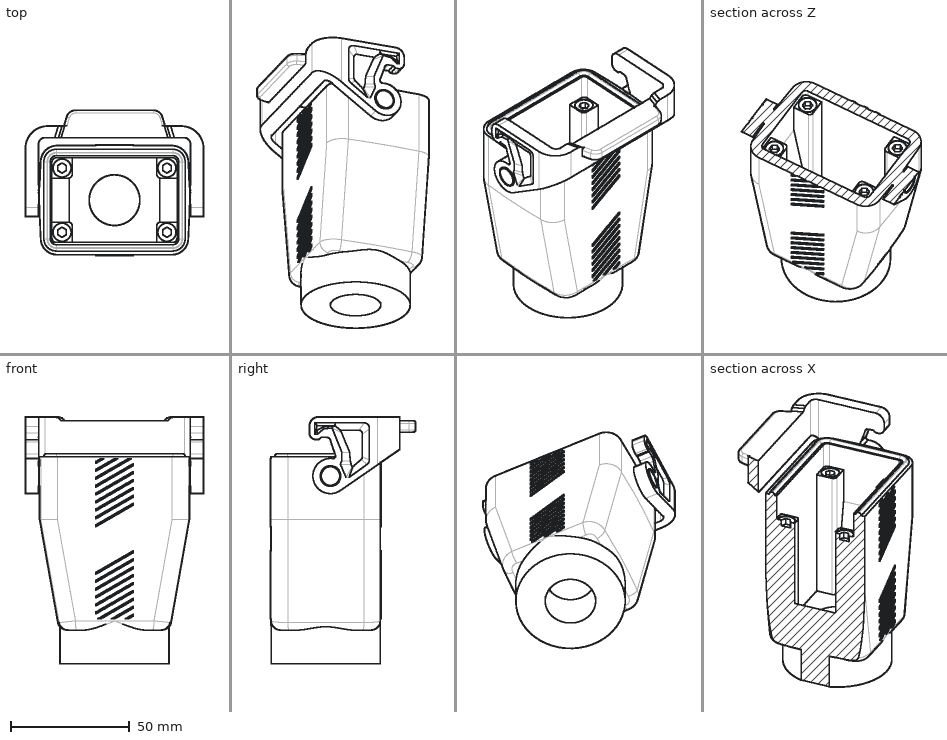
import cadquery as cq
import math

COLLAR_RADIUS = 23.0
BORE_RADIUS = 10.6

HOOD_HALF_LENGTH = 31.1
END_WALL_BOW = 0.5
HOOD_HALF_WIDTH = COLLAR_RADIUS
HOOD_CORNER_RADIUS = 7.0
HOOD_BOTTOM = 14.2
TAPER_TOP = 60.9
HOOD_TOP = 87.2
END_WALL_SLOPE = 0.178
BOTTOM_ROUND = 4.0

CAVITY_HALF_LENGTH = 26.3
CAVITY_HALF_WIDTH = 17.8
CAVITY_CORNER_RADIUS = 1.8
FLOOR_Z = 19.6

BEAD_HALF_LENGTH = 29.7
BEAD_HALF_WIDTH = 21.4
BEAD_WIDTH = 2.7
BEAD_HEIGHT = 1.25
BEAD_CORNER_RADIUS = 5.2
BEAD_ROUND = 1.2

PILLAR_SIZE = 8.5
PILLAR_TOP = 76.2
PILLAR_ROUND = 1.5
SCREW_X = 22.05
SCREW_Y = 13.5
SCREW_HEAD_RADIUS = 3.8
SCREW_HEAD_RECESS = 0.3
SCREW_HEX_DIAMETER = 4.2
SCREW_HEX_DEPTH = 3.0

STRIPE_HEIGHT = 0.3
STRIPE_BAND_HALF = 7.8
STRIPE_BAND_TOP = 86.3
STRIPE_BAND_BOTTOM = 18.9
STRIPE_COUNT = 9
STRIPE_PITCH = 3.33
STRIPE_ANGLE = 30.0
STRIPE_THICKNESS = 0.75
LOWEST_STRIPE_MID_Z = 62.6

BAIL_TOP = 103.9
BAIL_HALF_LENGTH = 37.5
BAIL_INNER_HALF = 31.9
BAIL_BACK = 31.2
BAIL_INNER_BACK = 26.2
BAIL_OUTER_RADIUS = 9.5
BAIL_INNER_RADIUS = 2.6
BAIL_BACK_BOTTOM = 90.2
PIVOT_Y = 2.0
PIVOT_Z = 79.0
PIVOT_BOSS_RADIUS = 7.4
PIN_RADIUS = 4.3
PIN_CHAMFER = 0.4
PIN_EMBED = 2.0
HOOK_TIP_Y = -6.9
HOOK_RADIUS = 4.0
HOOK_LOWER_RADIUS = 2.8
HOOK_BOTTOM = 94.3
NOTCH_ROOF = 95.2
NOTCH_LEDGE_Y = -1.9
NOTCH_BOTTOM_ANGLE = 81.0
NOTCH_BOTTOM_MID = (4.1, 87.2)
NOTCH_WALL_LOW = (3.85, 88.3)
NOTCH_WALL_HIGH = (2.05, 93.5)
NOTCH_TOP_MID = (1.55, 94.7)
NOTCH_TOP_END_Y = 0.5
POCKET_DEPTH = 1.4
HOOK_POCKET_DEPTH = 0.7
POCKET_RIM_ROUND = 2.4
POCKET_FLOOR_ROUND = 1.5

TAB_TIP_Y = 37.85
TAB_TOP = 102.3
TAB_BOTTOM = 97.4
TAB_ROOT_HALF = 21.3
TAB_SIDE_SLOPE = 0.3
TAB_CORNER_RADIUS = 4.0
TAB_EDGE_ROUND = 1.1
RECESS_HALF = 21.7
RECESS_BEVEL = 1.1
RECESS_LIP = 1.6


def plate(half_x, half_y, radius, bottom, height):
    """Rounded rectangular block centred on the Z axis."""
    block = cq.Workplane("XY").workplane(offset=bottom).rect(2 * half_x, 2 * half_y).extrude(height)
    return block.edges("|Z").fillet(radius)


def hood_section(z, half_length):
    """Rounded rectangle at height z with slightly bowed ends."""
    corner = HOOD_CORNER_RADIUS
    flat_x = half_length - corner
    flat_y = HOOD_HALF_WIDTH - corner
    mid_x = flat_x + corner * math.sqrt(0.5)
    mid_y = flat_y + corner * math.sqrt(0.5)
    bow_x = half_length + END_WALL_BOW
    return (
        cq.Workplane("XY").workplane(offset=z)
        .moveTo(-flat_x, -HOOD_HALF_WIDTH)
        .lineTo(flat_x, -HOOD_HALF_WIDTH)
        .threePointArc((mid_x, -mid_y), (half_length, -flat_y))
        .threePointArc((bow_x, 0), (half_length, flat_y))
        .threePointArc((mid_x, mid_y), (flat_x, HOOD_HALF_WIDTH))
        .lineTo(-flat_x, HOOD_HALF_WIDTH)
        .threePointArc((-mid_x, mid_y), (-half_length, flat_y))
        .threePointArc((-bow_x, 0), (-half_length, -flat_y))
        .threePointArc((-mid_x, -mid_y), (-flat_x, -HOOD_HALF_WIDTH))
        .close()
    )


def ruled_loft(lower, upper):
    """Straight-sided solid between two closed wires."""
    return cq.Workplane("XY").newObject([cq.Solid.makeLoft([lower, upper], True)])


def make_hood():
    bottom_half = HOOD_HALF_LENGTH - END_WALL_SLOPE * (TAPER_TOP - HOOD_BOTTOM)
    lower_wire = hood_section(HOOD_BOTTOM, bottom_half).val()
    upper_wire = hood_section(TAPER_TOP, HOOD_HALF_LENGTH).val()
    taper = ruled_loft(lower_wire, upper_wire).faces("<Z").edges().fillet(BOTTOM_ROUND)
    straight = hood_section(TAPER_TOP, HOOD_HALF_LENGTH).extrude(HOOD_TOP - TAPER_TOP)
    collar = cq.Workplane("XY").circle(COLLAR_RADIUS).extrude(FLOOR_Z)
    return straight.union(taper).union(collar)


def make_cavity():
    floor_half = CAVITY_HALF_LENGTH - END_WALL_SLOPE * (TAPER_TOP - FLOOR_Z)
    taper = (
        cq.Workplane("XY").workplane(offset=FLOOR_Z)
        .rect(2 * floor_half, 2 * CAVITY_HALF_WIDTH)
        .workplane(offset=TAPER_TOP - FLOOR_Z)
        .rect(2 * CAVITY_HALF_LENGTH, 2 * CAVITY_HALF_WIDTH)
        .loft(ruled=True)
    )
    depth = HOOD_TOP + BEAD_HEIGHT - TAPER_TOP
    straight = cq.Workplane("XY").workplane(offset=TAPER_TOP)
    straight = straight.rect(2 * CAVITY_HALF_LENGTH, 2 * CAVITY_HALF_WIDTH).extrude(depth)
    cavity = taper.union(straight)
    return cavity.edges("not(#Z)").fillet(CAVITY_CORNER_RADIUS)


def make_bead():
    ring = plate(BEAD_HALF_LENGTH, BEAD_HALF_WIDTH, BEAD_CORNER_RADIUS, HOOD_TOP, BEAD_HEIGHT)
    opening = plate(
        BEAD_HALF_LENGTH - BEAD_WIDTH,
        BEAD_HALF_WIDTH - BEAD_WIDTH,
        BEAD_CORNER_RADIUS - BEAD_WIDTH,
        HOOD_TOP,
        BEAD_HEIGHT,
    )
    return ring.cut(opening).faces(">Z").edges().fillet(BEAD_ROUND)


def make_pillars(cavity):
    """Four corner pillars, each with a recessed hexagon-socket screw head."""
    height = PILLAR_TOP - FLOOR_Z
    center_x = CAVITY_HALF_LENGTH - PILLAR_SIZE / 2
    center_y = CAVITY_HALF_WIDTH - PILLAR_SIZE / 2
    pillar = (
        cq.Workplane("XY").workplane(offset=FLOOR_Z)
        .center(center_x, center_y)
        .rect(PILLAR_SIZE, PILLAR_SIZE)
        .extrude(height)
        .edges("|Z and <X and <Y")
        .fillet(PILLAR_ROUND)
        .intersect(cavity)
    )
    screw_plane = cq.Workplane("XY").workplane(offset=PILLAR_TOP).center(SCREW_X, SCREW_Y)
    recess = screw_plane.circle(SCREW_HEAD_RADIUS).extrude(-SCREW_HEAD_RECESS)
    socket = screw_plane.transformed(rotate=(0, 0, 90)).polygon(6, SCREW_HEX_DIAMETER)
    pillar = pillar.cut(recess).cut(socket.extrude(-SCREW_HEX_DEPTH))
    pair = pillar.union(pillar.mirror("YZ"))
    return pair.union(pair.mirror("XZ"))


def make_stripes():
    """Two groups of diagonal stripes on the -Y wall and on the opposite wall."""
    band_width = 2 * STRIPE_BAND_HALF
    band_height = STRIPE_BAND_TOP - STRIPE_BAND_BOTTOM
    half_rise = STRIPE_BAND_HALF * math.tan(math.radians(STRIPE_ANGLE))
    half_thick = STRIPE_THICKNESS / 2
    band_mid_z = (STRIPE_BAND_TOP + STRIPE_BAND_BOTTOM) / 2
    wall_plane = cq.Workplane("XZ", origin=(0, -HOOD_HALF_WIDTH + STRIPE_HEIGHT, 0))
    thickness = 2 * STRIPE_HEIGHT
    band = wall_plane.center(0, band_mid_z).rect(band_width, band_height).extrude(thickness)
    stripes = cq.Workplane("XY")
    for index in range(STRIPE_COUNT):
        mid_z = LOWEST_STRIPE_MID_Z + index * STRIPE_PITCH
        corners = [
            (-STRIPE_BAND_HALF, mid_z - half_rise - half_thick),
            (STRIPE_BAND_HALF, mid_z + half_rise - half_thick),
            (STRIPE_BAND_HALF, mid_z + half_rise + half_thick),
            (-STRIPE_BAND_HALF, mid_z - half_rise + half_thick),
        ]
        upper = wall_plane.polyline(corners).close().extrude(thickness)
        lower = upper.rotate((0, 0, band_mid_z), (0, 1, band_mid_z), 180)
        stripes = stripes.add(upper.intersect(band)).add(lower.intersect(band))
    front = stripes.combine()
    return front.union(front.rotate((0, 0, 0), (0, 0, 1), 180))


def bail_side_profile():
    """Outline of a bail arm: back edge, sloped strut, pivot boss, notch and hook."""
    to_back = (BAIL_BACK - PIVOT_Y, BAIL_BACK_BOTTOM - PIVOT_Z)
    back_angle = math.atan2(to_back[1], to_back[0])
    tangent_angle = back_angle - math.acos(PIVOT_BOSS_RADIUS / math.hypot(*to_back))

    def on_boss(angle):
        return (
            PIVOT_Y + PIVOT_BOSS_RADIUS * math.cos(angle),
            PIVOT_Z + PIVOT_BOSS_RADIUS * math.sin(angle),
        )

    hook_y = HOOK_TIP_Y + HOOK_RADIUS
    hook_z = BAIL_TOP - HOOK_RADIUS
    diagonal = math.sqrt(0.5)
    lower_y = HOOK_TIP_Y + HOOK_LOWER_RADIUS
    lower_z = HOOK_BOTTOM + HOOK_LOWER_RADIUS
    return (
        cq.Workplane("YZ")
        .moveTo(hook_y, BAIL_TOP)
        .lineTo(BAIL_BACK, BAIL_TOP)
        .lineTo(BAIL_BACK, BAIL_BACK_BOTTOM)
        .lineTo(*on_boss(tangent_angle))
        .threePointArc(on_boss(math.pi), on_boss(math.radians(NOTCH_BOTTOM_ANGLE)))
        .threePointArc(NOTCH_BOTTOM_MID, NOTCH_WALL_LOW)
        .lineTo(*NOTCH_WALL_HIGH)
        .threePointArc(NOTCH_TOP_MID, (NOTCH_TOP_END_Y, NOTCH_ROOF))
        .lineTo(NOTCH_LEDGE_Y, NOTCH_ROOF)
        .lineTo(hook_y, HOOK_BOTTOM)
        .lineTo(lower_y, HOOK_BOTTOM)
        .threePointArc(
            (lower_y - HOOK_LOWER_RADIUS * diagonal, lower_z - HOOK_LOWER_RADIUS * diagonal),
            (HOOK_TIP_Y, lower_z),
        )
        .lineTo(HOOK_TIP_Y, hook_z)
        .threePointArc(
            (hook_y - HOOK_RADIUS * diagonal, hook_z + HOOK_RADIUS * diagonal),
            (hook_y, BAIL_TOP),
        )
        .close()
    )


def bail_plan():
    """U-shaped plan of the bail, open toward -Y, as a tall block."""
    outer_depth = BAIL_BACK - HOOK_TIP_Y
    inner_depth = BAIL_INNER_BACK - HOOK_TIP_Y
    outer = cq.Workplane("XY").center(0, HOOK_TIP_Y + outer_depth / 2)
    outer = outer.rect(2 * BAIL_HALF_LENGTH, outer_depth).extrude(BAIL_TOP)
    outer = outer.edges("|Z and >Y").fillet(BAIL_OUTER_RADIUS)
    inner = cq.Workplane("XY").center(0, HOOK_TIP_Y + inner_depth / 2)
    inner = inner.rect(2 * BAIL_INNER_HALF, inner_depth).extrude(BAIL_TOP)
    inner = inner.edges("|Z and >Y").fillet(BAIL_INNER_RADIUS)
    return outer.cut(inner)


def sloped_pocket(rim, floor, depth):
    """Cutter sunk into the -X arm face between two (Y, Z) outlines with matching corners."""
    return ruled_loft(
        pocket_outline(rim, -BAIL_HALF_LENGTH),
        pocket_outline(floor, -BAIL_HALF_LENGTH + depth),
    )


def pocket_outline(corners, x):
    """Closed wire at x through (Y, Z) or (Y, Z, round radius) corners."""
    points = [cq.Vector(x, corner[0], corner[1]) for corner in corners]
    wire = cq.Wire.makePolygon(points, close=True)
    for point, corner in zip(points, corners):
        if len(corner) > 2:
            vertex = min(wire.Vertices(), key=lambda v: (cq.Vector(v.toTuple()) - point).Length)
            wire = wire.fillet2D(corner[2], [vertex])
    return wire


def arm_pockets():
    """Weight-saving pocket behind the notch, and its shallow arm reaching into the hook."""
    main_rim = [
        (18.4, 101.4, POCKET_RIM_ROUND), (2.2, 101.4), (2.7, 99.2), (6.8, 88.9),
        (6.7, 85.4), (6.2, 83.9), (8.5, 78.5), (9.8, 78.4), (18.4, 84.6, POCKET_RIM_ROUND),
    ]
    main_floor = [
        (15.4, 98.3, POCKET_FLOOR_ROUND), (6.2, 98.3), (6.6, 97.4), (10.1, 88.9),
        (10.3, 85.4), (10.7, 83.9), (11.0, 83.1), (11.4, 82.9), (15.4, 86.4, POCKET_FLOOR_ROUND),
    ]
    hook_rim = [(4.0, 101.4), (-4.5, 101.4), (-4.5, 96.6), (-3.6, 96.5), (-0.8, 98.8), (2.7, 99.2)]
    hook_floor = [(4.0, 100.0), (-3.6, 100.2), (-3.9, 98.6), (-3.5, 98.3), (-0.8, 99.7), (2.7, 99.9)]
    main = sloped_pocket(main_rim, main_floor, POCKET_DEPTH)
    hook = sloped_pocket(hook_rim, hook_floor, HOOK_POCKET_DEPTH)
    return main.union(hook)


def make_tab():
    tip_half = TAB_ROOT_HALF - TAB_SIDE_SLOPE * (TAB_TIP_Y - BAIL_BACK)
    corners = [
        (-TAB_ROOT_HALF, BAIL_BACK), (TAB_ROOT_HALF, BAIL_BACK),
        (tip_half, TAB_TIP_Y), (-tip_half, TAB_TIP_Y),
    ]
    tab = cq.Workplane("XY").workplane(offset=TAB_BOTTOM).polyline(corners).close()
    tab = tab.extrude(TAB_TOP - TAB_BOTTOM)
    tab = tab.edges("|Z and >Y").fillet(TAB_CORNER_RADIUS)
    return tab.edges("(#Z) and (not <Y)").fillet(TAB_EDGE_ROUND)


def tab_recess():
    """Bevel-ended lowering of the bail's back wall, flush with the tab's top."""
    depth = BAIL_BACK - BAIL_INNER_BACK
    inner_half = RECESS_HALF + TAB_SIDE_SLOPE * depth / 2
    outer_half = RECESS_HALF - TAB_SIDE_SLOPE * depth / 2

    def outline(z, bevel):
        points = [
            (-outer_half - bevel, BAIL_BACK), (outer_half + bevel, BAIL_BACK),
            (inner_half + bevel, BAIL_INNER_BACK), (-inner_half - bevel, BAIL_INNER_BACK),
        ]
        return cq.Wire.makePolygon([cq.Vector(x, y, z) for x, y in points], close=True)

    bevel_top = outline(TAB_TOP + RECESS_BEVEL, RECESS_BEVEL)
    lower = ruled_loft(outline(TAB_TOP, 0.0), bevel_top)
    upper = ruled_loft(bevel_top, outline(BAIL_TOP, RECESS_BEVEL + RECESS_LIP))
    return lower.union(upper)


def make_pin():
    """Pivot pin on the -X side, reaching from the hood wall to the arm's outer face."""
    length = BAIL_HALF_LENGTH - HOOD_HALF_LENGTH + PIN_EMBED
    pin = cq.Workplane("YZ", origin=(-BAIL_HALF_LENGTH, 0, 0)).center(PIVOT_Y, PIVOT_Z)
    return pin.circle(PIN_RADIUS).extrude(length).faces("<X").chamfer(PIN_CHAMFER)


def make_bail():
    arms = bail_side_profile().extrude(BAIL_HALF_LENGTH, both=True).intersect(bail_plan())
    pockets = arm_pockets()
    pin = make_pin()
    hole = cq.Workplane("YZ", origin=(-BAIL_HALF_LENGTH, 0, 0)).center(PIVOT_Y, PIVOT_Z)
    hole = hole.circle(PIN_RADIUS).extrude(BAIL_HALF_LENGTH - BAIL_INNER_HALF)
    arms = arms.cut(pockets).cut(pockets.mirror("YZ"))
    arms = arms.cut(hole).cut(hole.mirror("YZ")).cut(tab_recess())
    return arms.union(make_tab()).union(pin).union(pin.mirror("YZ"))


def make_part():
    cavity = make_cavity()
    part = make_hood().cut(cavity)
    part = part.union(make_bead()).union(make_pillars(cavity)).union(make_stripes())
    bore = cq.Workplane("XY").circle(BORE_RADIUS).extrude(FLOOR_Z)
    return part.cut(bore).union(make_bail())


result = make_part()